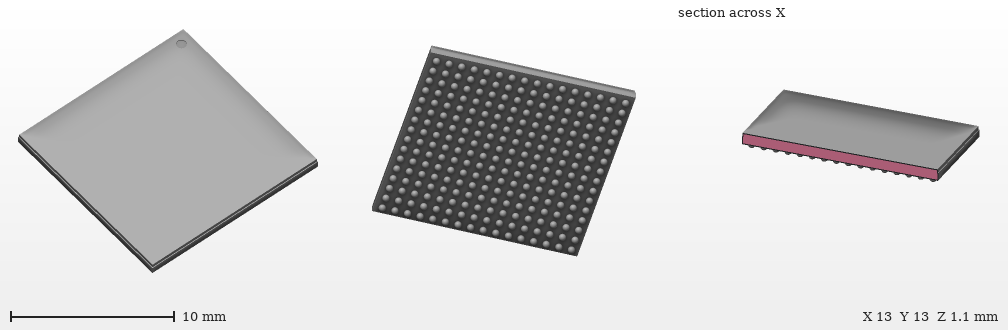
import cadquery as cq
import math

body_size = 13.0
total_height = 1.1

ball_drop = 0.36
substrate_thickness = 0.49
cap_thickness = total_height - ball_drop - substrate_thickness
cap_inset = 0.05
cap_size = body_size - 2 * cap_inset

ball_diameter = 0.46
ball_pitch = 0.8
balls_per_side = 16

marker_diameter = 0.65
marker_depth = 0.05
marker_edge_distance = 0.875

substrate_bottom = ball_drop
substrate_top = substrate_bottom + substrate_thickness


def make_plate(size, thickness, bottom):
    """Square plate centred on the Z axis."""
    return cq.Workplane("XY").workplane(offset=bottom).rect(size, size).extrude(thickness)


def make_ball():
    """Truncated ball on the Z axis: its tip at Z = 0, its flat on the substrate."""
    radius = ball_diameter / 2
    flat_radius = math.sqrt(radius**2 - (ball_drop - radius) ** 2)
    profile = (
        cq.Workplane("XZ")
        .lineTo(0, substrate_bottom)
        .lineTo(flat_radius, substrate_bottom)
        .threePointArc((radius, radius), (0, 0))
        .close()
    )
    return profile.revolve(360, (0, 0, 0), (0, 1, 0)).val()


def add_ball_grid(package):
    """Join a full square grid of solder balls to the underside."""
    ball = make_ball()
    first = -ball_pitch * (balls_per_side - 1) / 2
    positions = [first + ball_pitch * index for index in range(balls_per_side)]
    balls = [ball.translate(cq.Vector(x, y, 0)) for x in positions for y in positions]
    return package.union(cq.Workplane(cq.Compound.makeCompound(balls)))


def cut_marker(package):
    """Sink the pin-one marker into the -X, +Y corner of the cap."""
    offset = body_size / 2 - marker_edge_distance
    marker = (
        cq.Workplane("XY")
        .workplane(offset=total_height - marker_depth)
        .center(-offset, offset)
        .circle(marker_diameter / 2)
        .extrude(marker_depth)
    )
    return package.cut(marker)


substrate = make_plate(body_size, substrate_thickness, substrate_bottom)
cap = make_plate(cap_size, cap_thickness, substrate_top)
package = cut_marker(substrate.union(cap))
result = add_ball_grid(package)